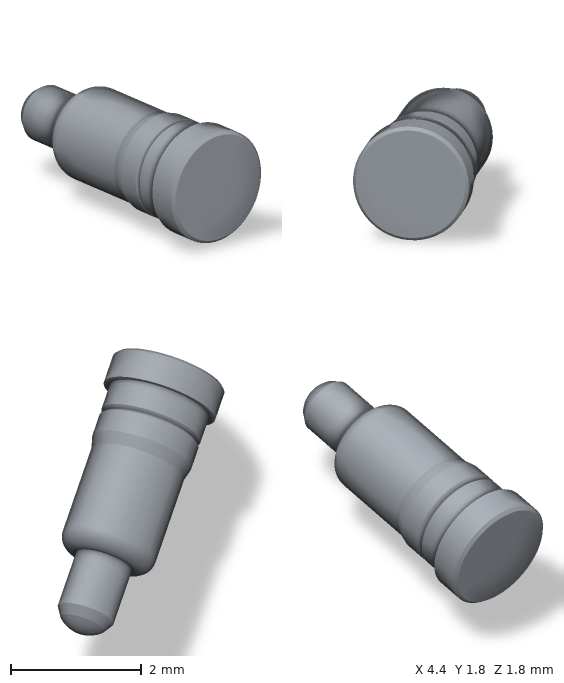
import cadquery as cq
import math


total_length = 4.4
tip_length = 0.3
barrel_start = 1.2
shoulder_start = 3.04
groove_center = 3.435
flange_thickness = 0.5

tip_dome_radius = 0.5
tip_dome_edge_radius = 0.355
plunger_radius = 0.45
barrel_radius = 0.75
shoulder_radius = 0.8
flange_radius = 0.9

barrel_nose_fillet = 0.25
taper_angle = 15
groove_depth = 0.05
flange_chamfer = 0.05

flange_start = total_length - flange_thickness
taper_length = (shoulder_radius - barrel_radius) / math.tan(math.radians(taper_angle))
taper_start = shoulder_start - taper_length


def dome_depth(radius):
    """Distance along X from the tip to where the dome reaches this radius."""
    return tip_dome_radius - math.sqrt(tip_dome_radius**2 - radius**2)


def plunger_profile(profile):
    """Spherical dome, conical flank and straight plunger up to the barrel face."""
    return (
        profile.threePointArc(
            (dome_depth(tip_dome_edge_radius / 2), tip_dome_edge_radius / 2),
            (dome_depth(tip_dome_edge_radius), tip_dome_edge_radius),
        )
        .lineTo(tip_length, plunger_radius)
        .lineTo(barrel_start, plunger_radius)
    )


def barrel_profile(profile):
    """Rounded barrel nose, straight barrel and taper up to the shoulder."""
    fillet_center_x = barrel_start + barrel_nose_fillet
    fillet_center_r = barrel_radius - barrel_nose_fillet
    diagonal = barrel_nose_fillet * math.sqrt(0.5)
    return (
        profile.lineTo(barrel_start, fillet_center_r)
        .threePointArc(
            (fillet_center_x - diagonal, fillet_center_r + diagonal),
            (fillet_center_x, barrel_radius),
        )
        .lineTo(taper_start, barrel_radius)
        .lineTo(shoulder_start, shoulder_radius)
    )


def shoulder_profile(profile):
    """Shoulder with its V groove, ending at the flange."""
    return (
        profile.lineTo(groove_center - groove_depth, shoulder_radius)
        .lineTo(groove_center, shoulder_radius - groove_depth)
        .lineTo(groove_center + groove_depth, shoulder_radius)
        .lineTo(flange_start, shoulder_radius)
    )


def flange_profile(profile):
    """End flange with a chamfered rear edge, closing on the axis."""
    return (
        profile.lineTo(flange_start, flange_radius)
        .lineTo(total_length - flange_chamfer, flange_radius)
        .lineTo(total_length, flange_radius - flange_chamfer)
        .lineTo(total_length, 0)
    )


profile = cq.Workplane("XY").moveTo(0, 0)
for add_section in (plunger_profile, barrel_profile, shoulder_profile, flange_profile):
    profile = add_section(profile)

result = profile.close().revolve(360, (0, 0, 0), (1, 0, 0))